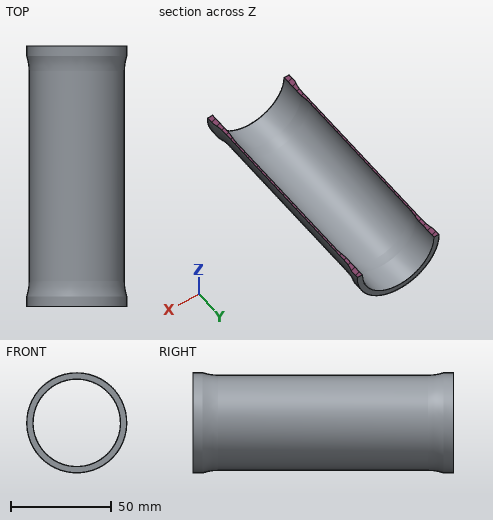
import cadquery as cq
import math

length = 130.0
half_length = length / 2

collar_radius = 25.0
collar_length = 5.0
body_radius = 23.8

mouth_radius = 21.75
mouth_length = 15.0
middle_bore_radius = 22.5

blend_radius = 25.0


def revolved_profile(end_radius, end_length, middle_radius):
    """Solid about Y: straight ends and middle, joined by arcs tangent to the middle."""
    rise = end_radius - middle_radius
    blend_run = math.sqrt(blend_radius**2 - (blend_radius - abs(rise))**2)
    end_y = half_length - end_length
    middle_y = end_y - blend_run

    half_run = blend_run / 2
    arc_rise = blend_radius - math.sqrt(blend_radius**2 - half_run**2)
    arc_y = middle_y + half_run
    arc_radius = middle_radius + math.copysign(arc_rise, rise)

    outline = (
        cq.Workplane("YZ")
        .moveTo(-half_length, 0)
        .lineTo(-half_length, end_radius)
        .lineTo(-end_y, end_radius)
        .threePointArc((-arc_y, arc_radius), (-middle_y, middle_radius))
        .lineTo(middle_y, middle_radius)
        .threePointArc((arc_y, arc_radius), (end_y, end_radius))
        .lineTo(half_length, end_radius)
        .lineTo(half_length, 0)
        .close()
    )
    return outline.revolve(360, (0, 0), (1, 0))


outer_shape = revolved_profile(collar_radius, collar_length, body_radius)
bore = revolved_profile(mouth_radius, mouth_length, middle_bore_radius)

result = outer_shape.cut(bore)